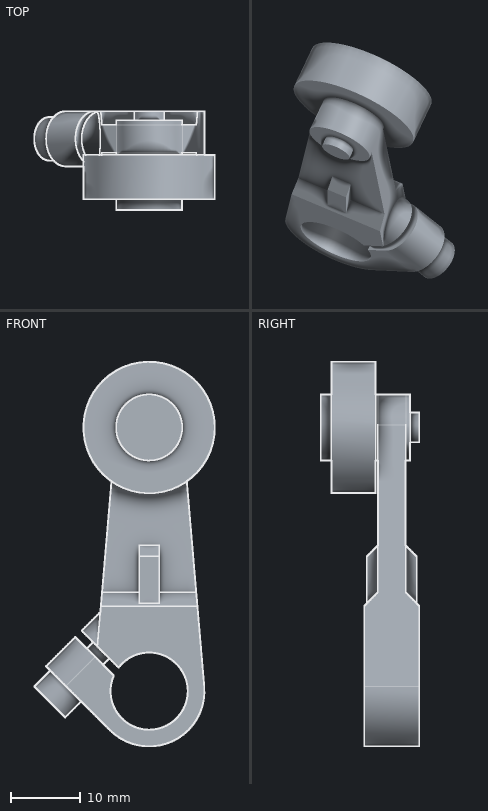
import cadquery as cq
import math

axis_distance = 38.05
clamp_radius = 8.0
bore_radius = 5.55
clamp_thickness = 8.0
arm_thickness = clamp_thickness / 2
clamp_shoulder_z = 12.25
shoulder_rise = (clamp_thickness - arm_thickness) / 2

roller_radius = 9.5
hub_radius = 4.8
pin_radius = 2.15
hub_front_y = -10.3
roller_front_y = -8.7
roller_back_y = -2.35
hub_back_y = 2.65
pin_back_y = clamp_thickness / 2

rib_width = 2.9
rib_thickness = 7.2
rib_shoulder_z = 19.45

lug_angle = 45.0
screw_offset = 9.05
lug_radius = clamp_thickness / 2
slit_bottom = -2.0
slit_top = -0.7
lug_top = 4.45
screw_radius = 1.65
head_radius = 3.15
head_end = -11.3


def cylinder_y(radius, y_start, y_end, z=0):
    """Cylinder along Y between two Y positions."""
    return cq.Workplane("XZ", origin=(0, y_start, z)).circle(radius).extrude(y_start - y_end)


def cylinder_z(radius, z_start, z_end):
    """Cylinder along Z on the screw axis, before the lug is turned."""
    base = cq.Workplane("XY", origin=(-screw_offset, 0, z_start))
    return base.circle(radius).extrude(z_end - z_start)


def slab(x_start, x_end, thickness, z_start, z_end):
    """Block centred on the clamp's mid-thickness."""
    base = cq.Workplane("XY", origin=((x_start + x_end) / 2, 0, z_start))
    return base.rect(x_end - x_start, thickness).extrude(z_end - z_start)


def turn_lug(body):
    return body.rotate((0, 0, 0), (0, 1, 0), lug_angle)


def make_arm():
    """Two end circles joined by tangents, thinned above the clamp."""
    taper = math.asin((clamp_radius - hub_radius) / axis_distance)
    low_x = clamp_radius * math.cos(taper)
    low_z = clamp_radius * math.sin(taper)
    high_x = hub_radius * math.cos(taper)
    high_z = axis_distance + hub_radius * math.sin(taper)
    outline = (
        cq.Workplane("XZ")
        .moveTo(-low_x, low_z)
        .threePointArc((0, -clamp_radius), (low_x, low_z))
        .lineTo(high_x, high_z)
        .threePointArc((0, axis_distance + hub_radius), (-high_x, high_z))
        .close()
        .extrude(clamp_thickness / 2, both=True)
    )
    clamp_y = clamp_thickness / 2
    arm_y = arm_thickness / 2
    arm_start_z = clamp_shoulder_z + shoulder_rise
    arm_end_z = axis_distance + hub_radius
    side_profile = (
        cq.Workplane("YZ")
        .polyline([
            (-clamp_y, -clamp_radius),
            (clamp_y, -clamp_radius),
            (clamp_y, clamp_shoulder_z),
            (arm_y, arm_start_z),
            (arm_y, arm_end_z),
            (-arm_y, arm_end_z),
            (-arm_y, arm_start_z),
            (-clamp_y, clamp_shoulder_z),
        ])
        .close()
        .extrude(clamp_radius, both=True)
    )
    return outline.intersect(side_profile)


def make_rib():
    """Rib through the arm with 45 degree slopes at its upper end."""
    rib_y = rib_thickness / 2
    arm_y = arm_thickness / 2
    rib_top_z = rib_shoulder_z + rib_y - arm_y
    return (
        cq.Workplane("YZ")
        .polyline([
            (-rib_y, clamp_shoulder_z),
            (rib_y, clamp_shoulder_z),
            (rib_y, rib_shoulder_z),
            (arm_y, rib_top_z),
            (-arm_y, rib_top_z),
            (-rib_y, rib_shoulder_z),
        ])
        .close()
        .extrude(rib_width / 2, both=True)
    )


def make_lug():
    """Clamp ear with a round outer end that continues into the arm."""
    ear = slab(-screw_offset, 0, clamp_thickness, -clamp_radius, slit_bottom)
    return turn_lug(ear.union(cylinder_z(lug_radius, -clamp_radius, lug_top)))


def make_slit():
    lug_end = screw_offset + lug_radius
    return turn_lug(slab(-lug_end, 0, clamp_thickness, slit_bottom, slit_top))


def make_screw():
    """Screw head below the lug and shank crossing the slit."""
    head = cylinder_z(head_radius, head_end, -clamp_radius)
    shank = cylinder_z(screw_radius, -clamp_radius, lug_top)
    return turn_lug(head.union(shank))


def make_roller():
    hub = cylinder_y(hub_radius, hub_front_y, hub_back_y, axis_distance)
    roller = cylinder_y(roller_radius, roller_front_y, roller_back_y, axis_distance)
    pin = cylinder_y(pin_radius, hub_back_y, pin_back_y, axis_distance)
    return hub.union(roller).union(pin)


bore = cylinder_y(bore_radius, -clamp_thickness / 2, clamp_thickness / 2)
clamp = make_arm().union(make_rib()).union(make_lug()).cut(make_slit()).cut(bore)
result = clamp.union(make_screw()).union(make_roller())